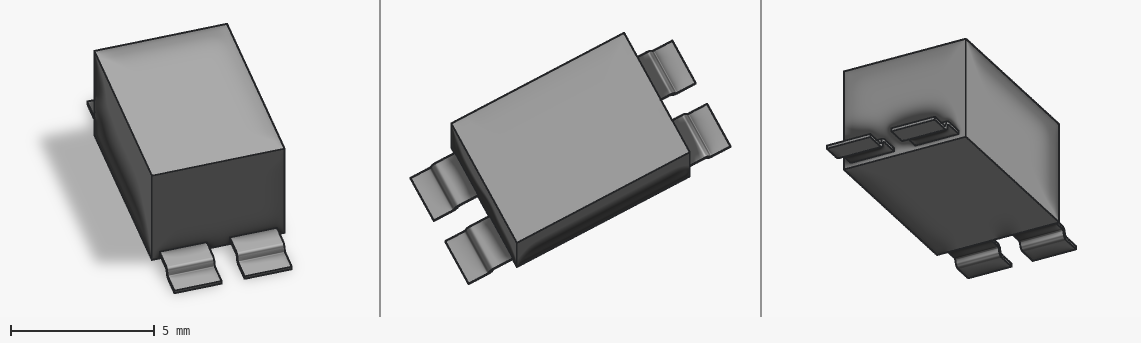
import cadquery as cq
import math

span_x = 10.35
body_depth = 4.83
overall_height = 4.06
body_length = 6.83
body_bottom = 0.12
body_height = overall_height - body_bottom

lead_thickness = 0.12
lead_width = 1.72
lead_pitch = 2.56
lead_rise = 0.31
web_middle = 0.88
web_angle = 75.0
inner_bend_radius = 0.08
outer_bend_radius = inner_bend_radius + lead_thickness
lead_length = (span_x - body_length) / 2


def make_body():
    """Plain rectangular block."""
    block = cq.Workplane("XY").box(body_length, body_depth, body_height, centered=(True, True, False))
    return block.translate((0, 0, body_bottom))


def make_lead():
    """Lead of the -X side, centred on Y = 0, ending at the body's face."""
    tip = -span_x / 2
    body_face = tip + lead_length
    web_x = tip + web_middle
    web_half_run = lead_rise / math.tan(math.radians(web_angle)) / 2
    corner_shift = lead_thickness / 2 * math.tan(math.radians(web_angle / 2))

    foot_upper = (web_x - web_half_run - corner_shift, lead_thickness)
    foot_lower = (web_x - web_half_run + corner_shift, 0)
    shoulder_upper = (web_x + web_half_run - corner_shift, lead_rise + lead_thickness)
    shoulder_lower = (web_x + web_half_run + corner_shift, lead_rise)

    outline = [
        (tip, 0),
        foot_lower,
        shoulder_lower,
        (body_face, lead_rise),
        (body_face, lead_rise + lead_thickness),
        shoulder_upper,
        foot_upper,
        (tip, lead_thickness),
    ]
    lead = cq.Workplane("XZ").polyline(outline).close().extrude(lead_width / 2, both=True)

    bends = [
        (foot_upper, inner_bend_radius),
        (shoulder_lower, inner_bend_radius),
        (foot_lower, outer_bend_radius),
        (shoulder_upper, outer_bend_radius),
    ]
    for (x, z), radius in bends:
        corner = cq.NearestToPointSelector((x, 0, z))
        lead = lead.edges("|Y").edges(corner).fillet(radius)
    return lead


def make_leads():
    """Two leads on each end of the body."""
    left_lead = make_lead()
    right_lead = left_lead.mirror("YZ")
    leads = []
    for lead in (left_lead, right_lead):
        for side in (-1, 1):
            leads.append(lead.translate((0, side * lead_pitch / 2, 0)).val())
    return leads


body = make_body()
leads = make_leads()

result = cq.Compound.makeCompound([body.val(), *leads])